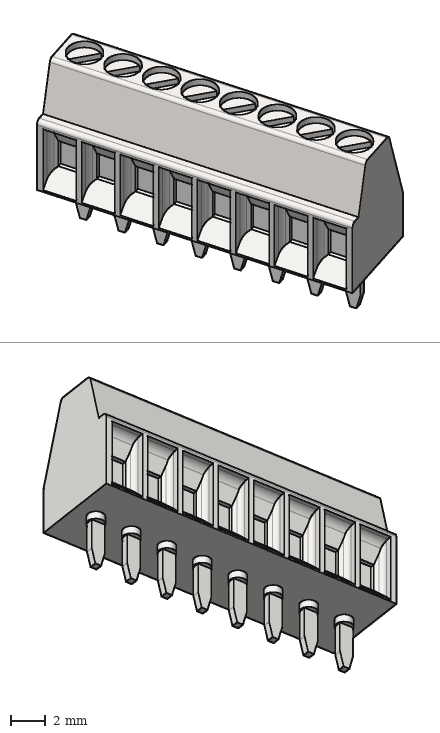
import cadquery as cq


POLES = 8
PITCH = 2.54
LENGTH = 20.78
DEPTH = 6.2
BODY_HEIGHT = 8.5
BACK_WALL_HEIGHT = 3.15
STEP_HEIGHT = 5.05
BACK_TOP_Y = 1.35
FRONT_TOP_Y = -1.47
STEP_Y = -2.36
EDGE_RADIUS = 0.3

OPENING_WIDTH = 2.18
OPENING_BOTTOM = 0.14
OPENING_TOP = 4.57
WALL_CURVE_START_DEPTH = 0.45
WALL_CURVE_END_DEPTH = 0.95
WALL_CURVE_WIDTH = 1.82
CEILING_CURVE_START_DEPTH = 0.28
CEILING_CURVE_END_DEPTH = 0.84
CEILING_CURVE_Z = 4.19
THROAT_DEPTH = 1.15
THROAT_WIDTH = 1.42
THROAT_BOTTOM = 1.25
THROAT_TOP = 3.09
OPENING_DEPTH = 1.43

SCREW_Y = -0.06
SCREW_HOLE_DIAMETER = 2.2
SCREW_RECESS = 0.45
SLOT_WIDTH = 0.49
SLOT_DEPTH = 0.53
SLOT_ANGLE = 45

STUD_RADIUS = 0.53
STUD_Y = 1.58
STUD_SHOULDER_Z = 7.2

COLLAR_DIAMETER = 1.12
COLLAR_HEIGHT = 0.5
PIN_LENGTH = 3.5
PIN_WIDTH = 0.95
PIN_THICKNESS = 0.48
PIN_TIP_WIDTH = 0.42
PIN_TAPER_LENGTH = 1.0

FRONT_Y = -DEPTH / 2
BACK_Y = DEPTH / 2
POLE_XS = [(i - (POLES - 1) / 2) * PITCH for i in range(POLES)]


def housing():
    """Stepped prism with its three upper long edges rounded."""
    profile = [
        (FRONT_Y, 0),
        (BACK_Y, 0),
        (BACK_Y, BACK_WALL_HEIGHT),
        (BACK_TOP_Y, BODY_HEIGHT),
        (FRONT_TOP_Y, BODY_HEIGHT),
        (STEP_Y, STEP_HEIGHT),
        (FRONT_Y, STEP_HEIGHT),
    ]
    body = cq.Workplane("YZ").polyline(profile).close().extrude(LENGTH / 2, both=True)
    step_edge = cq.selectors.NearestToPointSelector((0, FRONT_Y, STEP_HEIGHT))
    return body.edges("|X").edges(">Z").fillet(EDGE_RADIUS).edges(step_edge).fillet(EDGE_RADIUS)


def wire_opening():
    """Funnel-shaped pocket: its plan outline crossed with its side outline, centred on X = 0."""
    wall_curve_start_y = FRONT_Y + WALL_CURVE_START_DEPTH
    wall_curve_end_y = FRONT_Y + WALL_CURVE_END_DEPTH
    ceiling_curve_start_y = FRONT_Y + CEILING_CURVE_START_DEPTH
    ceiling_curve_end_y = FRONT_Y + CEILING_CURVE_END_DEPTH
    throat_y = FRONT_Y + THROAT_DEPTH
    end_y = FRONT_Y + OPENING_DEPTH
    half_plan = (
        cq.Workplane("XY")
        .moveTo(0, FRONT_Y)
        .lineTo(OPENING_WIDTH / 2, FRONT_Y)
        .lineTo(OPENING_WIDTH / 2, wall_curve_start_y)
        .tangentArcPoint((WALL_CURVE_WIDTH / 2, wall_curve_end_y), relative=False)
        .lineTo(THROAT_WIDTH / 2, throat_y)
        .lineTo(THROAT_WIDTH / 2, end_y)
        .lineTo(0, end_y)
        .close()
        .extrude(BODY_HEIGHT)
    )
    plan = half_plan.union(half_plan.mirror("YZ"))
    side = (
        cq.Workplane("YZ")
        .moveTo(FRONT_Y, OPENING_BOTTOM)
        .lineTo(FRONT_Y, OPENING_TOP)
        .lineTo(ceiling_curve_start_y, OPENING_TOP)
        .tangentArcPoint((ceiling_curve_end_y, CEILING_CURVE_Z), relative=False)
        .lineTo(throat_y, THROAT_TOP)
        .lineTo(end_y, THROAT_TOP)
        .lineTo(end_y, THROAT_BOTTOM)
        .lineTo(throat_y, THROAT_BOTTOM)
        .close()
        .extrude(OPENING_WIDTH, both=True)
    )
    return plan.intersect(side)


def screw_recess():
    """Round recess down to the screw head, with the driver slot sunk across the head."""
    radius = SCREW_HOLE_DIAMETER / 2
    head_z = BODY_HEIGHT - SCREW_RECESS
    hole = cq.Workplane("XY").workplane(offset=head_z).circle(radius).extrude(SCREW_RECESS)
    slot_blank = cq.Workplane("XY").workplane(offset=head_z).circle(radius).extrude(-SLOT_DEPTH)
    slot_bar = (
        cq.Workplane("XY")
        .workplane(offset=head_z)
        .rect(2 * SCREW_HOLE_DIAMETER, SLOT_WIDTH)
        .extrude(-SLOT_DEPTH)
        .rotate((0, 0, 0), (0, 0, 1), SLOT_ANGLE)
    )
    return hole.union(slot_blank.intersect(slot_bar)).translate((0, SCREW_Y, 0))


def stud():
    """Upright round stud with a hemispherical top, half sunk in the sloping back."""
    shank = (
        cq.Workplane("XY")
        .workplane(offset=BACK_WALL_HEIGHT)
        .circle(STUD_RADIUS)
        .extrude(STUD_SHOULDER_Z - BACK_WALL_HEIGHT)
    )
    dome = cq.Workplane("XY").sphere(STUD_RADIUS).translate((0, 0, STUD_SHOULDER_Z))
    return shank.union(dome).translate((0, STUD_Y, 0))


def solder_pin():
    """Round collar under the housing carrying a flat blade with a tapered tip."""
    collar = cq.Workplane("XY").circle(COLLAR_DIAMETER / 2).extrude(-COLLAR_HEIGHT)
    taper_z = PIN_TAPER_LENGTH - PIN_LENGTH
    outline = [
        (-PIN_WIDTH / 2, 0),
        (PIN_WIDTH / 2, 0),
        (PIN_WIDTH / 2, taper_z),
        (PIN_TIP_WIDTH / 2, -PIN_LENGTH),
        (-PIN_TIP_WIDTH / 2, -PIN_LENGTH),
        (-PIN_WIDTH / 2, taper_z),
    ]
    blade = cq.Workplane("XZ").polyline(outline).close().extrude(PIN_THICKNESS / 2, both=True)
    return collar.union(blade)


def at_every_pole(feature):
    """Copies of a feature modelled at X = 0, one at each pole."""
    shape = feature.val()
    return cq.Workplane("XY").newObject([shape.translate(cq.Vector(x, 0, 0)) for x in POLE_XS])


def add_all(body, features):
    for shape in features.vals():
        body = body.union(cq.Workplane(shape))
    return body


def cut_all(body, features):
    for shape in features.vals():
        body = body.cut(cq.Workplane(shape))
    return body


result = housing()
result = add_all(result, at_every_pole(stud()))
result = add_all(result, at_every_pole(solder_pin()))
result = cut_all(result, at_every_pole(wire_opening()))
result = cut_all(result, at_every_pole(screw_recess()))